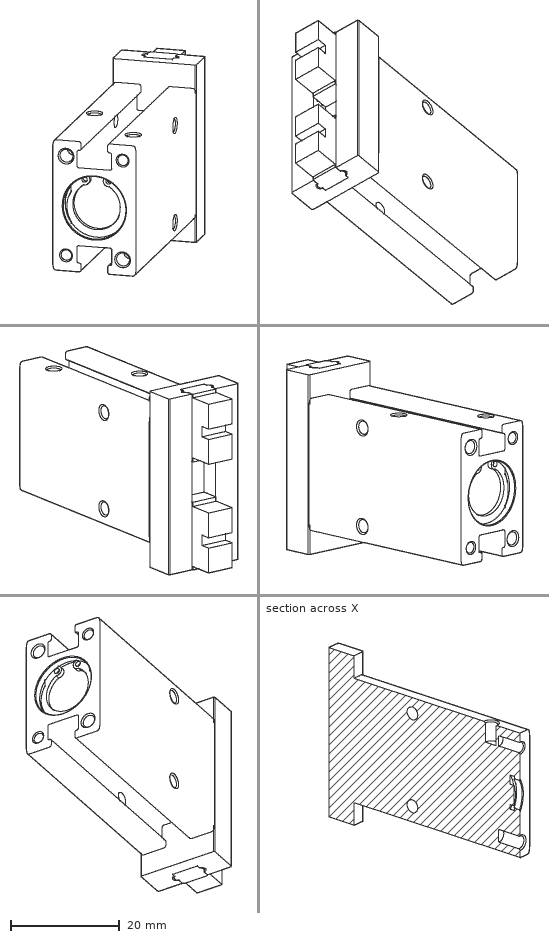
import cadquery as cq
import math


width = 16.0
body_height = 25.0
body_end = 39.9
side_curve_radius = 4.1
side_curve_start = 11.0
top_corner_radius = 0.55

slot_neck_half = 2.55
slot_wide_half = 3.3
slot_floor_z = 7.45
slot_step_z = 10.8
slot_corner_radius = 0.35
slot_lip_radius = 0.45

bore_diameter = 12.0
bore_chamfer = 0.15
groove_diameter = 12.5
ring_face = 1.5
ring_thickness = 0.85
ring_inner_diameter = 9.1
ring_outer_radius = 5.65
ring_outer_center_z = -0.45
ring_relief_x = 4.85
ear_x = 2.3
ear_z = 4.85
ear_radius = 1.0
ear_hole_diameter = 1.0

large_hole_diameter = 2.45
large_countersink_diameter = 3.0
small_hole_diameter = 2.0
small_countersink_diameter = 2.45
hole_x = 5.4
end_hole_z = 9.5
end_hole_depth = 5.1
port_depth = 4.1
front_port_y = 18.95
rear_port_y = 7.1
cross_hole_y = 25.9
cross_hole_z = 9.3

head_height = 34.0
head_end = 46.0
head_edge_chamfer = 0.2

total_length = 51.1
finger_half_width = 2.7
slide_start = 42.45
slide_end = 46.2
slide_inner_z = 3.9
slide_edge_chamfer = 0.13
rail_y = 44.0
rail_radius = 0.75
rail_gap = 0.3
finger_outer_z = 16.3
finger_inner_z = 4.7
notch_width = 2.0
notch_depth = 2.05

half_width = width / 2
body_top = body_height / 2
head_top = head_height / 2
bore_radius = bore_diameter / 2
SIDES = (-1, 1)


def cross_section(y):
    """Workplane parallel to XZ at the given y."""
    return cq.Workplane("XZ", origin=(0, y, 0))


def disc(radius, x, z, y, length):
    """Cylinder along Y starting at y."""
    return cross_section(y).center(x, z).circle(radius).extrude(-length)


def block(x_range, y_range, z_range):
    """Box between the given limits."""
    corner = (x_range[0], y_range[0], z_range[0])
    size = [high - low for low, high in (x_range, y_range, z_range)]
    return cq.Workplane("XY").box(*size, centered=False).translate(corner)


def countersunk_hole(point, direction, depth, diameter, mouth_diameter):
    """Blind hole cutter with a 45 degree countersink at its mouth."""
    start = cq.Vector(*point)
    axis = cq.Vector(*direction)
    countersink_depth = (mouth_diameter - diameter) / 2
    hole = cq.Solid.makeCylinder(diameter / 2, depth, start, axis)
    mouth = cq.Solid.makeCone(mouth_diameter / 2, diameter / 2, countersink_depth, start, axis)
    return cq.Workplane(obj=hole.fuse(mouth))


def make_cylinder_body():
    """Extruded profile with sides that curve in towards the top and bottom."""
    rise = body_top - side_curve_start
    center_x = half_width - side_curve_radius
    top_half = center_x + math.sqrt(side_curve_radius**2 - rise**2)
    middle_angle = math.asin(rise / side_curve_radius) / 2
    middle_x = center_x + side_curve_radius * math.cos(middle_angle)
    middle_z = side_curve_start + side_curve_radius * math.sin(middle_angle)
    profile = (
        cross_section(0)
        .moveTo(half_width, -side_curve_start)
        .lineTo(half_width, side_curve_start)
        .threePointArc((middle_x, middle_z), (top_half, body_top))
        .lineTo(-top_half, body_top)
        .threePointArc((-middle_x, middle_z), (-half_width, side_curve_start))
        .lineTo(-half_width, -side_curve_start)
        .threePointArc((-middle_x, -middle_z), (-top_half, -body_top))
        .lineTo(top_half, -body_top)
        .threePointArc((middle_x, -middle_z), (half_width, -side_curve_start))
        .close()
    )
    body = profile.extrude(-body_end)
    for end in (">Z", "<Z"):
        body = body.edges("|Y").edges(end).fillet(top_corner_radius)
    slot = make_t_slot()
    body = body.cut(slot).cut(slot.mirror("XY"))
    for end in (">Z", "<Z"):
        lips = body.faces(end).edges("|Y").edges(cq.selectors.BoxSelector(
            (-slot_wide_half, 0, -body_height), (slot_wide_half, body_end, body_height)))
        body = lips.fillet(slot_lip_radius)
    return body


def make_t_slot():
    """Cutter for the upper T-slot; its neck runs past the top of the body."""
    neck_top = 2 * body_top
    points = [
        (slot_wide_half, slot_floor_z),
        (slot_wide_half, slot_step_z),
        (slot_neck_half, slot_step_z),
        (slot_neck_half, neck_top),
    ]
    points += [(-x, z) for x, z in reversed(points)]
    return cross_section(0).polyline(points).close().extrude(-body_end).edges("|Y").fillet(slot_corner_radius)


def make_guide_head():
    """Tall block at the end of the cylinder body with broken upright edges."""
    head = block((-half_width, half_width), (body_end, head_end), (-head_top, head_top))
    return head.edges("|Z").chamfer(head_edge_chamfer)


def make_retaining_ring():
    """Open ring with two holed ears, relieved along its lower sides."""
    def ring_disc(radius, x, z):
        return disc(radius, x, z, ring_face, ring_thickness)

    span = (ring_face, ring_face + ring_thickness)
    groove_fill = ring_disc(groove_diameter / 2, 0, 0)
    ring = groove_fill.cut(ring_disc(ring_inner_diameter / 2, 0, 0))
    ring = ring.cut(block((-ear_x, ear_x), span, (0, groove_diameter)))
    relief = groove_fill.cut(ring_disc(ring_outer_radius, 0, ring_outer_center_z))
    relief = relief.cut(block((-ring_relief_x, ring_relief_x), span, (-groove_diameter, groove_diameter)))
    ring = ring.cut(relief)
    for side in SIDES:
        ear = ring_disc(ear_radius, side * ear_x, ear_z).intersect(groove_fill)
        ring = ring.union(ear).cut(ring_disc(ear_hole_diameter / 2, side * ear_x, ear_z))
    return ring


def cut_bore(housing):
    """Chamfered piston bore ending in a groove that holds the retaining ring."""
    housing = housing.cut(disc(bore_radius, 0, 0, 0, ring_face))
    housing = housing.cut(disc(groove_diameter / 2, 0, 0, ring_face, ring_thickness))
    mouth = cq.Solid.makeCone(
        bore_radius + bore_chamfer, bore_radius, bore_chamfer, cq.Vector(0, 0, 0), cq.Vector(0, 1, 0))
    return housing.cut(cq.Workplane(obj=mouth)).union(make_retaining_ring())


def cut_threaded_holes(housing):
    """Rear mounting holes, air ports in the top and cross holes through the sides."""
    large = (large_hole_diameter, large_countersink_diameter)
    small = (small_hole_diameter, small_countersink_diameter)
    for side in SIDES:
        large_end = (-side * hole_x, 0, side * end_hole_z)
        small_end = (side * hole_x, 0, side * end_hole_z)
        housing = housing.cut(countersunk_hole(large_end, (0, 1, 0), end_hole_depth, *large))
        housing = housing.cut(countersunk_hole(small_end, (0, 1, 0), end_hole_depth, *small))
        for z in (-cross_hole_z, cross_hole_z):
            mouth = (side * half_width, cross_hole_y, z)
            housing = housing.cut(countersunk_hole(mouth, (-side, 0, 0), half_width, *large))
    for x, y in ((-hole_x, front_port_y), (hole_x, rear_port_y)):
        housing = housing.cut(countersunk_hole((x, y, body_top), (0, 0, -1), port_depth, *large))
    return housing


def cut_guide(housing):
    """Straight channel through the head, with rail grooves alongside each slide."""
    half = finger_half_width
    housing = housing.cut(block((-half, half), (slide_start, head_end), (-head_top, head_top)))
    for start in (slide_inner_z, -head_top):
        for side in SIDES:
            housing = housing.cut(make_rail(side * half, start))
    return housing


def make_rail(x, start_z):
    """Upright round rail the length of one slide."""
    length = head_top - slide_inner_z
    return cq.Workplane("XY", origin=(x, rail_y, start_z)).circle(rail_radius).extrude(length)


def make_finger():
    """Upper finger: railed slide with a notched jaw standing on it."""
    half = finger_half_width
    sides = (-half, half)
    finger = block(sides, (slide_start, slide_end), (slide_inner_z, head_top))
    finger = finger.faces(">Y").edges("|Z").chamfer(slide_edge_chamfer)
    for side in SIDES:
        finger = finger.union(make_rail(side * (half - rail_gap), slide_inner_z))
    finger = finger.union(block(sides, (slide_end - slide_edge_chamfer, total_length),
                                (finger_inner_z, finger_outer_z)))
    notch_bottom = (finger_inner_z + finger_outer_z - notch_width) / 2
    notch = block(sides, (total_length - notch_depth, total_length),
                  (notch_bottom, notch_bottom + notch_width))
    return finger.cut(notch)


housing = make_cylinder_body().union(make_guide_head())
housing = cut_bore(housing)
housing = cut_threaded_holes(housing)
housing = cut_guide(housing)

upper_finger = make_finger()
fingers = [upper_finger, upper_finger.mirror("XY")]

result = cq.Compound.makeCompound([housing.val(), *[finger.val() for finger in fingers]])